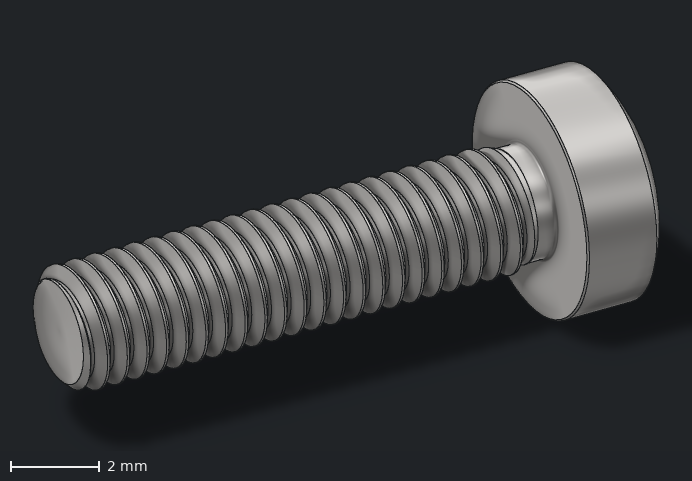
import cadquery as cq
import math

overall_length = 14.4
head_radius = 2.801
head_height = 2.4
dome_height = 0.6
dome_flat_radius = 1.51
dome_base_radius = 2.74
dome_bulge = 0.07
head_edge_break = 0.05

shank_length = overall_length - head_height
neck_radius = 1.34
neck_length = 0.49
neck_fillet = 0.09
tip_radius = 1.22
tip_dish_radius = 1.18
tip_dish_depth = 0.05

pitch = 0.5
major_radius = 1.5
minor_radius = 1.2
flank_half_angle = math.radians(30)
crest_width = pitch / 8
runout_length = 0.43

crest_clearance = 0.07
spare_turns = 2

neck_start = shank_length - neck_length


def revolve_about_y(outline):
    return outline.close().revolve(360, (0, 0, 0), (0, 1, 0))


def make_head():
    dome_start = overall_length - dome_height
    mid_radius = (dome_base_radius + dome_flat_radius) / 2
    mid_height = overall_length - dome_height / 2
    chord = math.hypot(dome_base_radius - dome_flat_radius, dome_height)
    dome_middle = (
        mid_radius + dome_bulge * dome_height / chord,
        mid_height + dome_bulge * (dome_base_radius - dome_flat_radius) / chord,
    )
    outline = (
        cq.Workplane("XY")
        .moveTo(0, shank_length)
        .lineTo(head_radius - head_edge_break, shank_length)
        .lineTo(head_radius, shank_length + head_edge_break)
        .lineTo(head_radius, dome_start - head_edge_break)
        .lineTo(dome_base_radius, dome_start)
        .threePointArc(dome_middle, (dome_flat_radius, overall_length))
        .lineTo(0, overall_length)
    )
    return revolve_about_y(outline)


def make_neck():
    fillet_middle = neck_fillet * (1 - math.sqrt(0.5))
    outline = (
        cq.Workplane("XY")
        .moveTo(0, neck_start)
        .lineTo(neck_radius, neck_start)
        .lineTo(neck_radius, shank_length - neck_fillet)
        .threePointArc(
            (neck_radius + fillet_middle, shank_length - fillet_middle),
            (neck_radius + neck_fillet, shank_length),
        )
        .lineTo(0, shank_length)
    )
    return revolve_about_y(outline)


def make_helix(radius, start):
    """One turn about the Z axis, beginning on the +X side."""
    return cq.Wire.makeHelix(pitch, pitch, radius, center=cq.Vector(0, 0, start))


def make_threaded_rod():
    """Solid bounded by helical strips, one turn at a time, longer than the threaded length."""
    half_crest = crest_width / 2
    half_root = half_crest + (major_radius - minor_radius) * math.tan(flank_half_angle)
    profile = [
        (major_radius, -half_crest),
        (major_radius, half_crest),
        (minor_radius, half_root),
        (minor_radius, pitch - half_root),
        (major_radius, pitch - half_crest),
    ]
    turn_starts = [turn * pitch for turn in range(-spare_turns, math.ceil(neck_start / pitch))]
    faces = []

    for turn_start in turn_starts:
        for (radius_a, offset_a), (radius_b, offset_b) in zip(profile, profile[1:]):
            faces.append(cq.Face.makeRuledSurface(
                make_helix(radius_a, turn_start + offset_a),
                make_helix(radius_b, turn_start + offset_b),
            ))

    for end in (turn_starts[0], turn_starts[-1] + pitch):
        axis_bottom = cq.Vector(0, 0, end - half_crest)
        axis_top = axis_bottom + cq.Vector(0, 0, pitch)
        axis = cq.Edge.makeLine(axis_bottom, axis_top)
        ramp_rim = make_helix(major_radius, end - half_crest).Edges()[0]
        faces.append(cq.Face.makeRuledSurface(axis, ramp_rim))
        cap_points = [cq.Vector(radius, 0, end + offset) for radius, offset in profile]
        cap = cq.Wire.makePolygon([axis_bottom, *cap_points, axis_top], close=True)
        faces.append(cq.Face.makeFromWires(cap))

    rod = cq.Solid.makeSolid(cq.Shell.makeShell(faces))
    return cq.Workplane(rod).rotate((0, 0, 0), (1, 0, 0), -90)


def make_thread_limits():
    """Envelope of the thread: dished and chamfered tip, clear of the crests, cone at the neck."""
    clear_radius = major_radius + crest_clearance
    runout_slope = runout_length / (major_radius - neck_radius)
    outline = (
        cq.Workplane("XY")
        .moveTo(0, tip_dish_depth)
        .lineTo(tip_dish_radius, 0)
        .lineTo(tip_radius, 0)
        .lineTo(clear_radius, clear_radius - tip_radius)
        .lineTo(clear_radius, neck_start - runout_slope * (clear_radius - neck_radius))
        .lineTo(neck_radius, neck_start)
        .lineTo(0, neck_start)
    )
    return revolve_about_y(outline)


thread = make_thread_limits().intersect(make_threaded_rod(), clean=False)
result = thread.union(make_neck()).union(make_head())